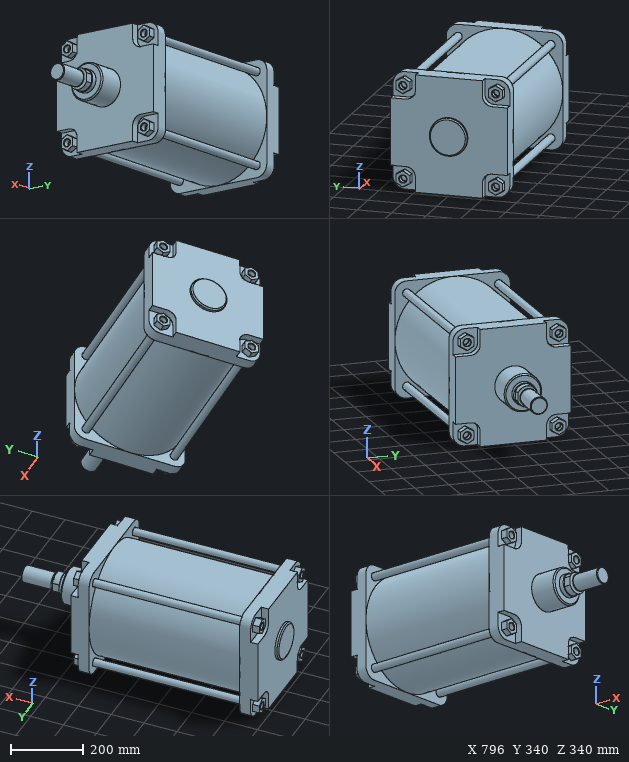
import cadquery as cq
import math

total_length = 796.0
boss_diameter = 110.0
boss_chamfer = 4.0
back_boss_length = 10.0

cap_width = 340.0
cap_thickness = 56.0
cap_corner_radius = 35.0
pocket_width = 72.5
pocket_depth = 22.0
pocket_corner_radius = 29.0
front_boss_length = 83.5

barrel_length = 458.0
barrel_diameter = 339.0

tie_rod_diameter = 24.0
tie_rod_offset = cap_width / 2 - cap_corner_radius
nut_across_flats = 40.5
nut_thickness = 20.0
nut_hole_diameter = 21.0
nut_hole_chamfer = (tie_rod_diameter - nut_hole_diameter) / 2

rod_diameter = 67.0
rod_exposed_length = 14.0
collar_diameter = 62.0
collar_length = 21.5
collar_across_flats = 56.5
neck_diameter = 46.0
neck_length = 6.0
neck_root_radius = 1.5
thread_diameter = 50.0
thread_chamfer = 2.0

back_cap_start = back_boss_length
barrel_start = back_cap_start + cap_thickness
barrel_end = barrel_start + barrel_length
front_cap_end = barrel_end + cap_thickness
front_boss_end = front_cap_end + front_boss_length
collar_start = front_boss_end + rod_exposed_length
neck_start = collar_start + collar_length
thread_start = neck_start + neck_length

corner_centers = [
    (y_side * tie_rod_offset, z_side * tie_rod_offset)
    for y_side in (-1, 1)
    for z_side in (-1, 1)
]


def plane_at(x):
    """Plane across the axis whose local x, y and normal are the part's Y, Z and X."""
    return cq.Workplane("YZ", origin=(x, 0, 0))


def cylinder(start, end, diameter):
    return plane_at(start).circle(diameter / 2).extrude(end - start)


def make_cap(start, pocket_start):
    """Rounded square plate with a nut pocket in each corner and holes for the tie rods."""
    plate = plane_at(start).rect(cap_width, cap_width).extrude(cap_thickness)
    plate = plate.edges("|X").fillet(cap_corner_radius)

    block_width = 2 * pocket_width
    pockets = (
        plane_at(pocket_start)
        .rect(cap_width, cap_width, forConstruction=True)
        .vertices()
        .rect(block_width, block_width)
        .extrude(pocket_depth)
        .edges("|X")
        .fillet(pocket_corner_radius)
    )
    holes = plane_at(start).pushPoints(corner_centers).circle(tie_rod_diameter / 2).extrude(cap_thickness)
    return plate.cut(pockets).cut(holes)


def make_back_cap():
    cap = make_cap(back_cap_start, back_cap_start)
    boss = cylinder(0, back_cap_start, boss_diameter).faces("<X").chamfer(boss_chamfer)
    return cap.union(boss)


def make_front_cap():
    cap = make_cap(barrel_end, front_cap_end - pocket_depth)
    boss = cylinder(front_cap_end, front_boss_end, boss_diameter).faces(">X").chamfer(boss_chamfer)
    rod_bore = cylinder(barrel_end, front_boss_end, rod_diameter)
    return cap.union(boss).cut(rod_bore)


def make_barrel():
    return cylinder(barrel_start, barrel_end, barrel_diameter)


def make_nut(start, outer_face):
    """Hexagonal nut, points up and down, with a chamfered blind hole in its outer face."""
    nut = (
        plane_at(start)
        .transformed(rotate=(0, 0, 90))
        .polygon(6, nut_across_flats / math.cos(math.pi / 6))
        .extrude(nut_thickness)
    )
    nut = nut.faces(outer_face).workplane().hole(nut_hole_diameter, nut_thickness)
    return nut.faces(outer_face).edges("%CIRCLE").chamfer(nut_hole_chamfer)


def make_tie_rod(y, z):
    back_seat = back_cap_start + pocket_depth
    front_seat = front_cap_end - pocket_depth
    shaft = cylinder(back_seat, front_seat, tie_rod_diameter)
    back_nut = make_nut(back_seat - nut_thickness, "<X")
    front_nut = make_nut(front_seat, ">X")
    return shaft.union(back_nut).union(front_nut).translate((0, y, z))


def make_piston_rod():
    """Rod seated in the front cap, then a collar with two flats, a neck and a threaded end."""
    rod = cylinder(barrel_end, collar_start, rod_diameter)
    flats = plane_at(collar_start).rect(collar_across_flats, collar_diameter).extrude(collar_length)
    collar = cylinder(collar_start, neck_start, collar_diameter).intersect(flats)
    neck = cylinder(neck_start, thread_start, neck_diameter)
    thread = cylinder(thread_start, total_length, thread_diameter).faces(">X").chamfer(thread_chamfer)

    smallest_radius = cq.selectors.RadiusNthSelector(0)
    neck_root = collar.union(neck).edges("%CIRCLE").edges(smallest_radius).edges("<X")
    collar_and_neck = neck_root.fillet(neck_root_radius)
    return rod.union(collar_and_neck).union(thread)


back_cap = make_back_cap()
front_cap = make_front_cap()
barrel = make_barrel()
tie_rods = [make_tie_rod(y, z) for y, z in corner_centers]
piston_rod = make_piston_rod()

result = cq.Compound.makeCompound(
    [
        back_cap.val(),
        front_cap.val(),
        barrel.val(),
        piston_rod.val(),
        *[tie_rod.val() for tie_rod in tie_rods],
    ]
)